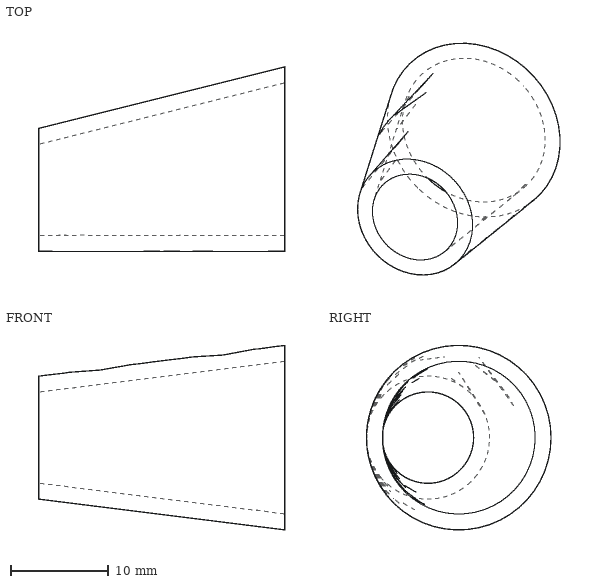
import cadquery as cq

length = 25.4
small_diameter = 12.7
large_diameter = 19.05
wall_thickness = 1.65

offset = (large_diameter - small_diameter) / 2


def tapered_body(small_radius, large_radius):
    """Loft from the small circle at X = 0 to the shifted large circle at X = length."""
    return (
        cq.Workplane("YZ")
        .circle(small_radius)
        .workplane(offset=length)
        .center(offset, 0)
        .circle(large_radius)
        .loft(ruled=True)
    )


outer = tapered_body(small_diameter / 2, large_diameter / 2)
bore = tapered_body(small_diameter / 2 - wall_thickness, large_diameter / 2 - wall_thickness)

result = outer.cut(bore)